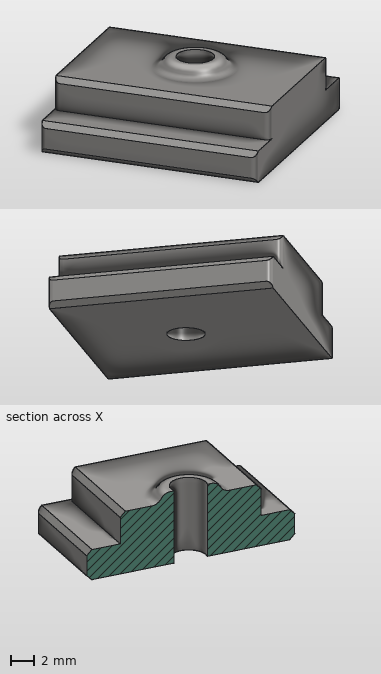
import cadquery as cq
import math

length = 20.0
base_width = 19.9
rail_width = 13.5
base_height = 2.9
rail_height = 3.0
deck = base_height + rail_height

chamfer = 0.5
corner_radius = 0.5

collar_offset_x = 0.42
collar_height = 1.0
collar_top_radius = 2.0
hole_diameter = 3.3
collar_arc_radius = 1.0

hole_clearance = 0.2


def rounded_tier(width, bottom, height):
    """Full-length block with rounded vertical corners, centred in X and Y."""
    tier = cq.Workplane("XY").workplane(offset=bottom)
    tier = tier.rect(length, width).extrude(height)
    return tier.edges("|Z").fillet(corner_radius)


def stepped_profile():
    """Stepped cross-section, bevelled on its long edges and extruded along X."""
    base_half = base_width / 2
    rail_half = rail_width / 2
    right_half = [
        (base_half - chamfer, 0),
        (base_half, chamfer),
        (base_half, base_height - chamfer),
        (base_half - chamfer, base_height),
        (rail_half, base_height),
        (rail_half, deck - chamfer),
        (rail_half - chamfer, deck),
    ]
    left_half = [(-y, z) for y, z in reversed(right_half)]
    outline = cq.Workplane("YZ").polyline(right_half + left_half).close()
    return outline.extrude(length / 2, both=True)


def collar():
    """Revolved S-shaped collar: a convex arc flowing into an equal concave arc."""
    radius = collar_arc_radius
    top = deck + collar_height
    sweep = math.acos(1 - collar_height / 2 / radius)
    run = radius * math.sin(sweep)
    half_run = radius * math.sin(sweep / 2)
    half_drop = radius * (1 - math.cos(sweep / 2))
    base_radius = collar_top_radius + 2 * run
    profile = (
        cq.Workplane("XZ")
        .moveTo(0, base_height)
        .lineTo(0, top)
        .lineTo(collar_top_radius, top)
        .threePointArc(
            (collar_top_radius + half_run, top - half_drop),
            (collar_top_radius + run, top - collar_height / 2),
        )
        .threePointArc((base_radius - half_run, deck + half_drop), (base_radius, deck))
        .lineTo(base_radius, base_height)
        .close()
    )
    return profile.revolve(360, (0, 0, 0), (0, 1, 0)).translate((collar_offset_x, 0, 0))


def through_hole():
    """Cylinder that opens the collar and the block from top to bottom."""
    depth = deck + collar_height + 2 * hole_clearance
    cutter = cq.Workplane("XY").workplane(offset=-hole_clearance)
    return cutter.center(collar_offset_x, 0).circle(hole_diameter / 2).extrude(depth)


tiers = rounded_tier(base_width, 0, base_height)
tiers = tiers.union(rounded_tier(rail_width, base_height, rail_height))
block = tiers.intersect(stepped_profile())

result = block.union(collar()).cut(through_hole())